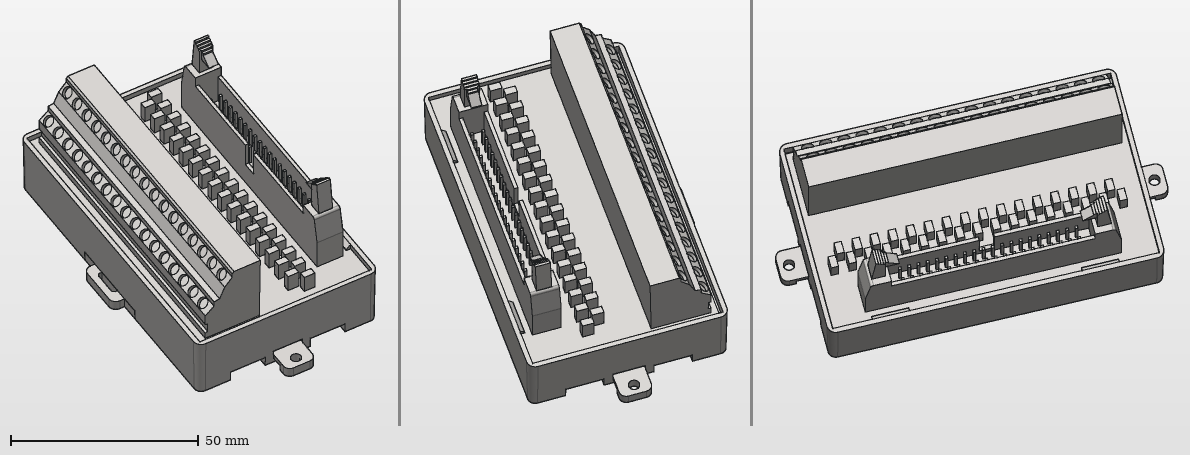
import cadquery as cq
import math


overall_length = 106.5

housing_length = 92.7
housing_width = 56.2
housing_height = 18.0
wall_draft = 1.0
draft_inset = housing_height * math.tan(math.radians(wall_draft))
corner_radius = 2.1
rim_thickness = 1.4

board_top = 16.4
board_thickness = 1.6
board_bottom = board_top - board_thickness
board_front_gap = 0.9
tray_length = housing_length - 2 * rim_thickness
tray_width = housing_width - 2 * rim_thickness
tray_back = tray_width / 2

snap_length = 10.2
snap_reach = 1.4
snap_tip_thickness = 0.3
snap_centre_x = 28.9

foot_height = 3.0
rail_half_width = 17.8
centre_block_half_width = 7.0

hook_top = 1.6
hook_tip_bottom = 0.9
hook_slope_run = 1.5
fixed_hook_reach = 2.6
latch_hook_reach = 1.6

latch_length = 26.0
latch_front = draft_inset - housing_width / 2
pull_front = -31.4
pull_length = 15.3
pull_corner_radius = 2.1
finger_slot_length = 8.1
finger_slot_front = -29.3
finger_slot_radius = 0.9

tab_width = 9.0
tab_corner_radius = 2.0
tab_hole_diameter = 3.0
tab_hole_inset = 3.0
tab_groove_inset = 3.8
tab_groove_height = 1.6
tab_rib_width = 3.2
tab_recess_height = 1.1
tab_recess_depth = 0.9

terminal_length = 86.3
terminal_back = -6.8
terminal_back_lean = 0.3
terminal_top = 37.0
terminal_front = -24.0
foot_groove_back = -23.2
terminal_hole_diameter = 3.3
terminal_hole_depth = 1.1
terminal_hole_count = 17
terminal_hole_first_x = -40.6
terminal_pitch = 5.0
upper_screw_face = ((-15.5, 35.0), (-17.9, 32.5))
lower_screw_face = ((-21.2, 27.0), (terminal_front, 24.8))

lamp_length = 2.0
lamp_width = 3.3
lamp_top = 21.6
lamp_row_first_x = -39.0
lamp_row_last_x = 40.5
lamp_count = 17
lamp_pitch = (lamp_row_last_x - lamp_row_first_x) / (lamp_count - 1)
back_lamp_y = 9.5
front_lamp_y = 6.0

header_length = 70.5
header_width = 8.1
header_centre_y = 19.6
header_wall = 1.1
header_wall_top = 30.4
header_floor = 21.3
tower_top = 33.4
tower_length = 7.2
tower_slope_start = 25.5
tower_top_inset = 1.6
tower_edge_radius = 0.9
key_slot_length = 4.2
key_slot_depth = 7.2
pin_columns = 20
pin_pitch = 2.6
pin_row_spacing = 3.2
pin_size = 0.7
pin_top = 27.3

lever_top = 43.2
lever_foot_outer_x = 33.0
lever_tip_outer_x = 31.8
lever_inner_x = 29.2
lever_width = 4.3
beak_tip_x = 25.2
beak_bottom = 38.2
beak_width = 3.0
grip_end_x = 28.2
grip_end_z = 40.5
grip_step_count = 5


def block(x_range, y_range, z_range):
    """Axis-aligned box between the given limits."""
    size = [limits[1] - limits[0] for limits in (x_range, y_range, z_range)]
    corner = (x_range[0], y_range[0], z_range[0])
    return cq.Workplane("XY").box(*size, centered=False).translate(corner)


def prism_along_x(points, length):
    """Outline of (y, z) points extruded along X, centred on x = 0."""
    return cq.Workplane("YZ").polyline(points).close().extrude(length / 2, both=True)


def prism_along_y(points, width, centre_y):
    """Outline of (x, z) points extruded along Y, centred on centre_y."""
    prism = cq.Workplane("XZ").polyline(points).close().extrude(width / 2, both=True)
    return prism.translate((0, centre_y, 0))


def with_mirror(shape):
    """The shape together with its mirror image across x = 0."""
    return shape.union(shape.mirror("YZ"))


def rail_hook(root_y, reach, direction):
    """Hook that points along Y in the given direction from root_y, with a sloping lead-in below."""
    tip_y = root_y + direction * reach
    points = [
        (root_y, 0),
        (tip_y - direction * hook_slope_run, 0),
        (tip_y, hook_tip_bottom),
        (tip_y, hook_top),
        (root_y, hook_top),
    ]
    return prism_along_x(points, latch_length)


def drafted_shell():
    base = (
        cq.Sketch()
        .rect(housing_length - 2 * draft_inset, housing_width - 2 * draft_inset)
        .vertices()
        .fillet(corner_radius)
    )
    body = cq.Workplane("XY").placeSketch(base).extrude(housing_height, taper=-wall_draft)
    tray = block(
        (-tray_length / 2, tray_length / 2), (-tray_back, tray_back), (board_bottom, housing_height)
    )
    return body.cut(tray)


def rail_channels():
    channel = block(
        (-overall_length / 2, overall_length / 2),
        (centre_block_half_width, rail_half_width),
        (0, foot_height),
    )
    return channel.union(channel.mirror("XZ"))


def snap_ledges():
    points = [
        (tray_back, housing_height),
        (tray_back - snap_reach, board_top + snap_tip_thickness),
        (tray_back - snap_reach, board_top),
        (tray_back, board_top),
    ]
    ledge = prism_along_x(points, snap_length).translate((snap_centre_x, 0, 0))
    return with_mirror(ledge)


def screw_tabs():
    end_x = overall_length / 2
    root_x = tray_length / 2 - rim_thickness
    tab = block((root_x, end_x), (-tab_width / 2, tab_width / 2), (0, foot_height))
    tab = tab.edges("|Z and >X").fillet(tab_corner_radius)
    hole = (
        cq.Workplane("XY")
        .center(end_x - tab_hole_inset, 0)
        .circle(tab_hole_diameter / 2)
        .extrude(foot_height)
    )
    groove = block(
        (root_x, end_x - tab_groove_inset),
        (tab_rib_width / 2, tab_width / 2),
        (0, tab_groove_height),
    )
    tab = tab.cut(hole).cut(groove).cut(groove.mirror("XZ"))
    return with_mirror(tab)


def tab_recesses():
    """Sloping recess in each end wall just above its tab."""
    wall_bottom_x = housing_length / 2 - draft_inset
    recess_top = foot_height + tab_recess_height
    points = [
        (wall_bottom_x - tab_recess_depth, foot_height),
        (wall_bottom_x, recess_top),
        (housing_length / 2, recess_top),
        (housing_length / 2, foot_height),
    ]
    return with_mirror(prism_along_y(points, tab_width, 0))


def latch_pocket():
    return block(
        (-latch_length / 2, latch_length / 2),
        (-housing_width / 2, -rail_half_width),
        (0, foot_height),
    )


def make_housing():
    body = drafted_shell().cut(rail_channels()).cut(latch_pocket()).cut(tab_recesses())
    body = body.union(rail_hook(rail_half_width, fixed_hook_reach, -1.1))
    return body.union(screw_tabs()).union(snap_ledges())


def make_latch():
    half_length = latch_length / 2
    slide = block((-half_length, half_length), (latch_front, -rail_half_width), (0, foot_height))
    pull = block((-pull_length / 2, pull_length / 2), (pull_front, latch_front), (0, foot_height))
    pull = pull.edges("|Z and <Y").fillet(pull_corner_radius)
    finger_slot = block(
        (-finger_slot_length / 2, finger_slot_length / 2),
        (finger_slot_front, latch_front),
        (0, foot_height),
    )
    finger_slot = finger_slot.edges("|Z and <Y").fillet(finger_slot_radius)
    hook = rail_hook(-rail_half_width, latch_hook_reach, 1.1)
    return slide.union(pull.cut(finger_slot)).union(hook)


def board_plate():
    return block(
        (-tray_length / 2, tray_length / 2),
        (-tray_back + board_front_gap, tray_back),
        (board_bottom, board_top),
    )


def screw_holes(face):
    """Row of blind holes square to a sloping face given by its upper and lower (y, z) edges."""
    (upper_y, upper_z), (lower_y, lower_z) = face
    outward = cq.Vector(0, lower_z - upper_z, upper_y - lower_y)
    middle = cq.Vector(terminal_hole_first_x, (upper_y + lower_y) / 2, (upper_z + lower_z) / 2)
    face_plane = cq.Plane(origin=middle, xDir=(1, 0, 0), normal=outward)
    centres = [(index * terminal_pitch, 0) for index in range(terminal_hole_count)]
    holes = cq.Workplane(face_plane).pushPoints(centres).circle(terminal_hole_diameter / 2)
    return holes.extrude(-terminal_hole_depth)


def terminal_block():
    """Stepped block with one sloping screw face per tier and a groove along its front foot."""
    profile = [
        (terminal_back - terminal_back_lean, board_top),
        (terminal_back, terminal_top),
        (-15.0, terminal_top),
        (-15.5, 36.3),
        *upper_screw_face,
        (-19.5, 29.0),
        (-21.2, 28.6),
        *lower_screw_face,
        (terminal_front, 21.6),
        (foot_groove_back, 21.3),
        (foot_groove_back, 18.6),
        (terminal_front, 18.3),
        (terminal_front, board_top),
    ]
    body = prism_along_x(profile, terminal_length)
    return body.cut(screw_holes(upper_screw_face)).cut(screw_holes(lower_screw_face))


def lamp_row(count, first_x, centre_y):
    centres = [(first_x + index * lamp_pitch, centre_y) for index in range(count)]
    row = cq.Workplane("XY").workplane(offset=board_top).pushPoints(centres)
    return row.rect(lamp_length, lamp_width).extrude(lamp_top - board_top)


def header_body():
    half_length = header_length / 2
    half_width = header_width / 2
    profile = [
        (-half_length, board_top),
        (half_length, board_top),
        (half_length, tower_slope_start),
        (half_length - tower_top_inset, tower_top),
        (tower_top_inset - half_length, tower_top),
        (-half_length, tower_slope_start),
    ]
    body = prism_along_y(profile, header_width, header_centre_y)
    body = body.edges("|Y and >Z").fillet(tower_edge_radius)
    inner_x = half_length - tower_length
    above_walls = block(
        (-inner_x, inner_x),
        (header_centre_y - half_width, header_centre_y + half_width),
        (header_wall_top, tower_top),
    )
    cavity_half_width = half_width - header_wall
    cavity = block(
        (-inner_x, inner_x),
        (header_centre_y - cavity_half_width, header_centre_y + cavity_half_width),
        (header_floor, tower_top),
    )
    key_slot = block(
        (-key_slot_length / 2, key_slot_length / 2),
        (header_centre_y - half_width, header_centre_y - cavity_half_width),
        (header_wall_top - key_slot_depth, header_wall_top),
    )
    return body.cut(above_walls).cut(cavity).cut(key_slot)


def header_pins():
    pins = cq.Workplane("XY").workplane(offset=header_floor).center(0, header_centre_y)
    pins = pins.rarray(pin_pitch, pin_row_spacing, pin_columns, 2).rect(pin_size, pin_size)
    return pins.extrude(pin_top - header_floor)


def ejector_levers():
    """Stem with an inward beak that is narrower than it; the sloping top starts as a stepped grip."""
    step_run = (lever_tip_outer_x - grip_end_x) / grip_step_count
    step_drop = (lever_top - grip_end_z) / grip_step_count
    outline = [(lever_foot_outer_x, tower_top), (lever_tip_outer_x, lever_top)]
    for step in range(1, grip_step_count + 1):
        edge_x = lever_tip_outer_x - step * step_run
        outline.append((edge_x, lever_top - (step - 1) * step_drop))
        outline.append((edge_x, lever_top - step * step_drop))
    outline += [
        (beak_tip_x, beak_bottom),
        (lever_inner_x, beak_bottom),
        (lever_inner_x, tower_top),
    ]
    stem_space = block(
        (lever_inner_x, lever_foot_outer_x),
        (header_centre_y - lever_width / 2, header_centre_y + lever_width / 2),
        (tower_top, lever_top),
    )
    stem = prism_along_y(outline, lever_width, header_centre_y).intersect(stem_space)
    return with_mirror(stem.union(prism_along_y(outline, beak_width, header_centre_y)))


def make_board_assembly():
    body = board_plate().union(terminal_block())
    body = body.union(lamp_row(lamp_count, lamp_row_first_x, back_lamp_y))
    body = body.union(lamp_row(lamp_count - 1, lamp_row_first_x + lamp_pitch / 2, front_lamp_y))
    return body.union(header_body()).union(header_pins()).union(ejector_levers())


housing = make_housing()
latch = make_latch()
board_assembly = make_board_assembly()

result = cq.Compound.makeCompound([housing.val(), latch.val(), board_assembly.val()])